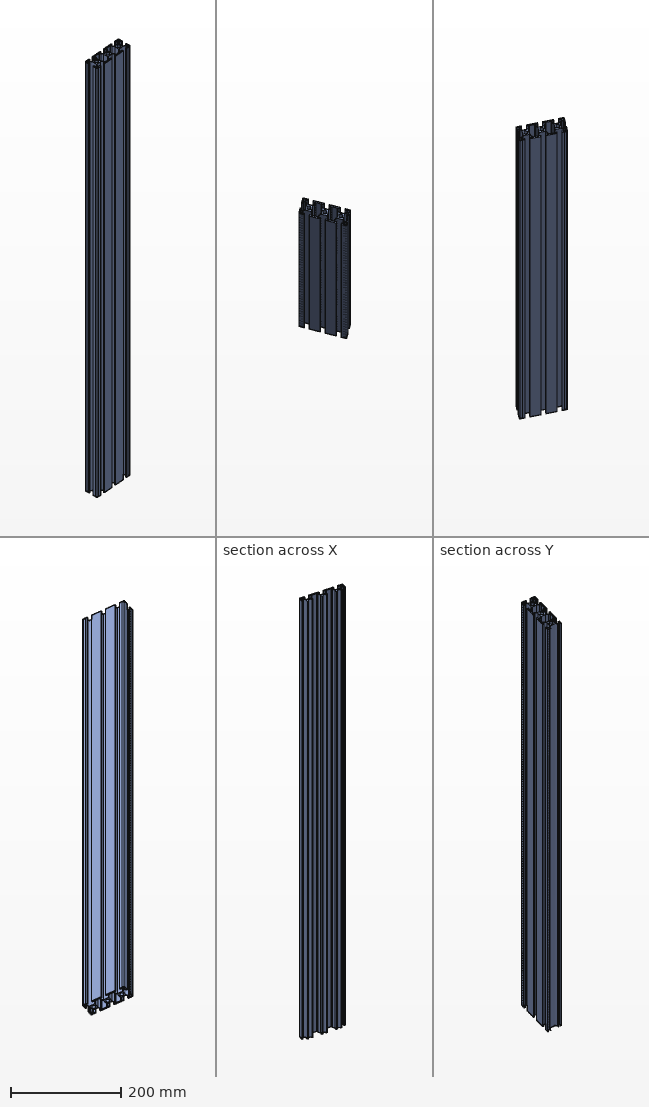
import cadquery as cq
import math

module_size = 30.0
module_count = 3
length = 1000.0
corner_radius = 1.5

slot_opening = 9.2
lip_thickness = 2.65
slot_inner_width = 16.9
floor_width = 9.8
ridge_depth = 9.0
ridge_top_width = 2.0
ridge_base_width = 3.2
ridge_slope = math.radians(15)
floor_fillet = 0.7

ridge_height = (ridge_base_width - ridge_top_width) / 2 * math.tan(ridge_slope)
floor_depth = ridge_depth + ridge_height
flank_start_depth = floor_depth - (slot_inner_width - floor_width) / 2

bore_diameter = 6.8
corner_hole_side = 4.1
corner_hole_offset = 11.3
skin_thickness = 2.75
cavity_side_height = 9.4
cavity_height = 17.8
cavity_end_width = 9.2

width = module_size
height = module_size * module_count
half_module = module_size / 2
module_centers = [(i - (module_count - 1) / 2) * module_size for i in range(module_count)]
first_module = module_centers[0]
last_module = module_centers[-1]
cavity_centers = [y + half_module for y in module_centers[:-1]]


def prism(points):
    """Full-length solid over a closed outline."""
    return cq.Workplane("XY").polyline(points).close().extrude(length)


def t_slot(center_y, angle):
    """Cutter for one T-slot, turned by angle (0 opens towards +X) about its module axis."""
    half_outline = [
        (half_module, slot_opening / 2),
        (half_module - lip_thickness, slot_opening / 2),
        (half_module - lip_thickness, slot_inner_width / 2),
        (half_module - flank_start_depth, slot_inner_width / 2),
        (half_module - floor_depth, floor_width / 2),
        (half_module - floor_depth, ridge_base_width / 2),
        (half_module - ridge_depth, ridge_top_width / 2),
    ]
    mirrored_half = [(x, -y) for x, y in reversed(half_outline)]
    floor_corners = cq.selectors.SumSelector(
        cq.selectors.NearestToPointSelector((half_module - floor_depth, floor_width / 2, length / 2)),
        cq.selectors.NearestToPointSelector((half_module - floor_depth, -floor_width / 2, length / 2)),
    )
    slot = prism(half_outline + mirrored_half).edges(floor_corners).fillet(floor_fillet)
    return slot.rotate((0, 0, 0), (0, 0, 1), angle).translate((0, center_y, 0))


def cavity(center_y):
    """Eight-sided hollow between two neighbouring modules."""
    side_x = width / 2 - skin_thickness
    upper = [
        (side_x, cavity_side_height / 2),
        (cavity_end_width / 2, cavity_height / 2),
        (-cavity_end_width / 2, cavity_height / 2),
        (-side_x, cavity_side_height / 2),
    ]
    lower = [(-x, -y) for x, y in upper]
    return prism(upper + lower).translate((0, center_y, 0))


def bores():
    """Round bore on the axis of every module."""
    centers = [(0, y) for y in module_centers]
    return cq.Workplane("XY").pushPoints(centers).circle(bore_diameter / 2).extrude(length)


def corner_holes():
    """Square holes in the four outer corners of the profile."""
    x = corner_hole_offset
    y = last_module + corner_hole_offset
    centers = [(x, y), (-x, y), (-x, -y), (x, -y)]
    return cq.Workplane("XY").pushPoints(centers).rect(corner_hole_side, corner_hole_side).extrude(length)


bar = cq.Workplane("XY").rect(width, height).extrude(length)
bar = bar.edges("|Z").fillet(corner_radius)

for module_y in module_centers:
    bar = bar.cut(t_slot(module_y, 0))
    bar = bar.cut(t_slot(module_y, 180))
bar = bar.cut(t_slot(last_module, 90))
bar = bar.cut(t_slot(first_module, 270))

for cavity_y in cavity_centers:
    bar = bar.cut(cavity(cavity_y))

result = bar.cut(bores()).cut(corner_holes())